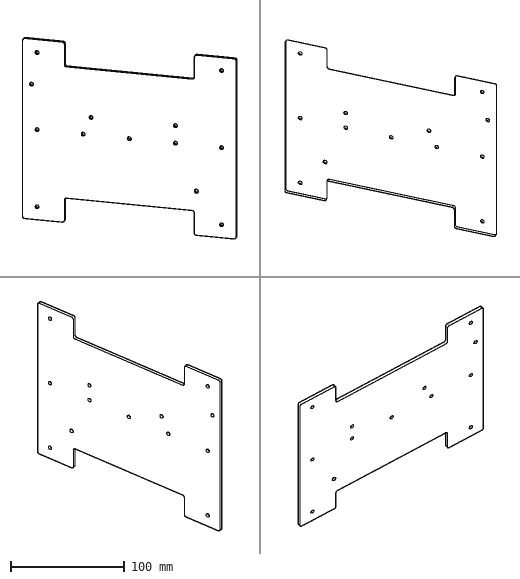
import cadquery as cq

width = 197.0
thickness = 3.0
height = 168.0

notch_width = 119.8
web_height = 122.5
notch_depth = (height - web_height) / 2
corner_radius = 2.0

hole_diameter = 3.3
large_hole_diameter = 3.5
mount_x = 85.1
mount_z = 72.0
inner_x = mount_x / 2
upper_z = 16.4

mount_holes = [(x, z) for x in (-mount_x, mount_x) for z in (-mount_z, 0, mount_z)]
center_row_holes = [(x, 0) for x in (-inner_x, 0, inner_x)]
upper_row_holes = [(-35.3, upper_z), (inner_x, upper_z)]
left_edge_hole = (-90.2, 42.0)
large_hole = (61.9, -43.0)


def make_notch(side):
    """Notch cutter with rounded inner corners; side is +1 for top, -1 for bottom."""
    return (
        cq.Workplane("XY")
        .box(notch_width, thickness, 2 * notch_depth)
        .edges("|Y")
        .fillet(corner_radius)
        .translate((0, 0, side * height / 2))
    )


def make_holes(points, diameter):
    """Through-hole cutters along Y at (x, z) points."""
    return (
        cq.Workplane("XZ")
        .pushPoints(points)
        .circle(diameter / 2)
        .extrude(thickness / 2, both=True)
    )


def make_plate():
    """H-shaped plate with every tab corner rounded."""
    plate = cq.Workplane("XY").box(width, thickness, height)
    for side in (1, -1):
        plate = plate.cut(make_notch(side))
    top_and_bottom_edges = plate.faces("<Z or >Z").edges("|Y")
    return top_and_bottom_edges.fillet(corner_radius)


small_holes = mount_holes + center_row_holes + upper_row_holes + [left_edge_hole]

result = (
    make_plate()
    .cut(make_holes(small_holes, hole_diameter))
    .cut(make_holes([large_hole], large_hole_diameter))
)